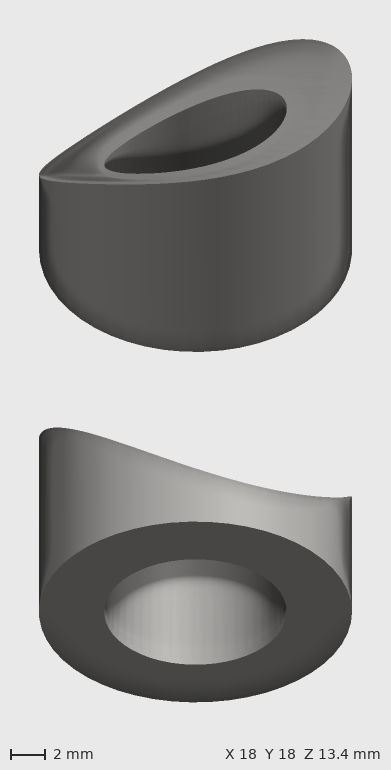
import cadquery as cq
import math

outer_diameter = 18
bore_diameter = 10.5
height = 13.41
slope_angle = 30
saddle_radius = 21.5

tube = (
    cq.Workplane("XY")
    .circle(outer_diameter / 2)
    .circle(bore_diameter / 2)
    .extrude(height)
)

slope = math.radians(slope_angle)
axis_direction = cq.Vector(math.cos(slope), 0, math.sin(slope))
axis_normal = cq.Vector(-math.sin(slope), 0, math.cos(slope))
tip = cq.Vector(outer_diameter / 2, 0, height)
half_length = outer_diameter + height
axis_start = tip + axis_normal * saddle_radius - axis_direction * half_length
saddle = cq.Solid.makeCylinder(saddle_radius, half_length * 2, axis_start, axis_direction)

result = tube.cut(cq.Workplane(obj=saddle))